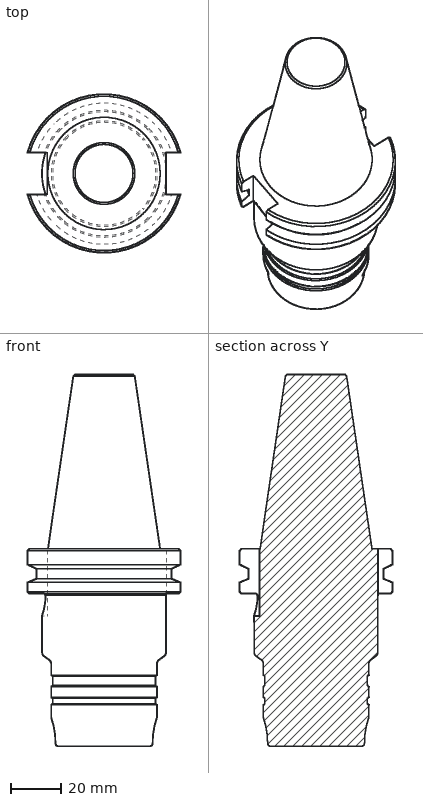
import cadquery as cq
import math

total_height = 148.2
flange_top = 78.9
flange_bottom = 61.0
groove_upper_edge = 72.5
groove_upper_floor = 70.7
groove_lower_floor = 66.9
groove_lower_edge = 65.4
body_top = 60.2
body_bottom = 37.5
neck_top = 32.9
nose_taper_top = 11.5

taper_small_radius = 12.3
taper_large_radius = 22.4
flange_radius = 63.3 / 2
flange_groove_radius = 28.2
body_radius = 49.5 / 2
neck_radius = 42.3 / 2
neck_groove_radius = 41.0 / 2
nose_radius = 19.4

taper_tip_chamfer = 0.7
flange_top_chamfer = 0.9
flange_bottom_chamfer = 0.7
flange_relief = 0.6
body_edge_round = 2.0
shoulder_angle = 40.0
neck_fillet = 2.0
nose_edge_round = 1.3
nose_bow = 0.5

neck_grooves = [(23.9, 28.5), (16.6, 19.5)]
neck_groove_chamfer = 0.5

slot_width = 16.6
slot_bottom = 52.0
deep_slot_floor = 22.5
shallow_slot_floor = body_radius


def make_body():
    """Revolve the half profile of taper, flange, body, neck and nose."""
    nose_middle = (
        (neck_radius + nose_radius) / 2 - nose_bow,
        (nose_taper_top + nose_edge_round) / 2,
    )
    turn_run = 1 - math.sin(math.radians(shoulder_angle))
    turn_rise = math.cos(math.radians(shoulder_angle))
    round_start = nose_radius - nose_edge_round
    round_offset = nose_edge_round * math.sqrt(0.5)
    profile = (
        cq.Workplane("XZ")
        .moveTo(0, 0)
        .lineTo(round_start, 0)
        .threePointArc(
            (round_start + round_offset, nose_edge_round - round_offset),
            (nose_radius, nose_edge_round),
        )
        .threePointArc(nose_middle, (neck_radius, nose_taper_top))
        .lineTo(neck_radius, neck_top)
        .radiusArc(
            (neck_radius + neck_fillet * turn_run, neck_top + neck_fillet * turn_rise),
            neck_fillet,
        )
        .lineTo(body_radius - body_edge_round * turn_run, body_bottom - body_edge_round * turn_rise)
        .radiusArc((body_radius, body_bottom), -body_edge_round)
        .lineTo(body_radius, body_top)
        .lineTo(body_radius + flange_relief, flange_bottom)
        .lineTo(flange_radius - flange_bottom_chamfer, flange_bottom)
        .lineTo(flange_radius, flange_bottom + flange_bottom_chamfer)
        .lineTo(flange_radius, groove_lower_edge)
        .lineTo(flange_groove_radius, groove_lower_floor)
        .lineTo(flange_groove_radius, groove_upper_floor)
        .lineTo(flange_radius, groove_upper_edge)
        .lineTo(flange_radius, flange_top - flange_top_chamfer)
        .lineTo(flange_radius - flange_top_chamfer, flange_top)
        .lineTo(taper_large_radius, flange_top)
        .lineTo(taper_small_radius, total_height - taper_tip_chamfer)
        .lineTo(taper_small_radius - taper_tip_chamfer, total_height)
        .lineTo(0, total_height)
        .close()
    )
    return profile.revolve(360, (0, 0, 0), (0, 1, 0))


def neck_groove_cutter(bottom, top):
    """Ring that cuts a shallow groove with chamfered sides into the neck."""
    return (
        cq.Workplane("XZ")
        .moveTo(neck_radius, bottom)
        .lineTo(neck_groove_radius, bottom + neck_groove_chamfer)
        .lineTo(neck_groove_radius, top - neck_groove_chamfer)
        .lineTo(neck_radius, top)
        .close()
        .revolve(360, (0, 0, 0), (0, 1, 0))
    )


def slot_cutter(side, floor):
    """Slot with a round lower end, open at the flange top; side is -1 or +1 along X."""
    half_width = slot_width / 2
    arc_center = slot_bottom + half_width
    return (
        cq.Workplane("YZ", origin=(side * floor, 0, 0))
        .moveTo(-half_width, flange_top)
        .lineTo(-half_width, arc_center)
        .threePointArc((0, slot_bottom), (half_width, arc_center))
        .lineTo(half_width, flange_top)
        .close()
        .extrude(side * flange_radius)
    )


result = make_body()
for groove_bottom, groove_top in neck_grooves:
    result = result.cut(neck_groove_cutter(groove_bottom, groove_top))
result = result.cut(slot_cutter(-1, deep_slot_floor))
result = result.cut(slot_cutter(1, shallow_slot_floor))